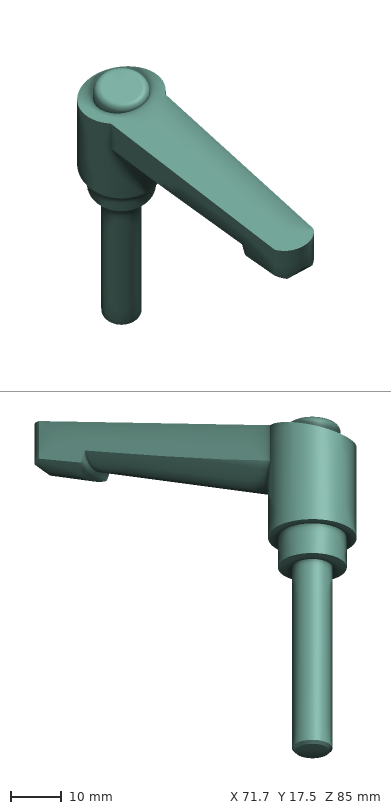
import cadquery as cq
import math


stud_radius = 4.0
stud_chamfer = 0.6
collar_radius = 6.8
collar_bottom = 39.95
button_radius = 5.6
button_top = 70.7
button_fillet = 1.5

hub_radius = 8.75
hub_bottom = 46.4

overall_height = 85.0
overall_length = 71.7
tip_x = overall_length - hub_radius
top_angle = 15.0
root_x = 5.9
root_half_width = 6.55
tip_half_width = 4.7
tip_arc_depth = 3.1

underside_angle = 20.0
arm_axis_z = 54.8
arm_crown_radius = 6.9
grip_depth = 1.95
grip_start = 53.2
grip_crown_radius = 8.75
grip_step_fillet = 2.2
grip_tip_fillet = 4.25

top_slope = math.tan(math.radians(top_angle))
underside_slope = math.tan(math.radians(underside_angle))
underside_sin = math.sin(math.radians(underside_angle))
underside_cos = math.cos(math.radians(underside_angle))


def top_z(x):
    """Height of the sloping top plane."""
    return overall_height - top_slope * (tip_x - x)


def cylinder(radius, bottom, top):
    return cq.Workplane("XY").workplane(offset=bottom).circle(radius).extrude(top - bottom)


def side_prism(points):
    """Extrude an XZ outline across the full width of the hub."""
    return cq.Workplane("XZ").polyline(points).close().extrude(hub_radius, both=True)


def inclined_point(along, below=0.0):
    """XZ point at a distance along the arm underside and square below it."""
    return (
        along * underside_cos + below * underside_sin,
        arm_axis_z + along * underside_sin - below * underside_cos,
    )


def crown(radius, below):
    """Inclined bar with a round underside and vertical flanks."""
    x, z = inclined_point(0, below)
    plane = cq.Plane(
        origin=(x, 0, z),
        xDir=(0, 1, 0),
        normal=(underside_cos, 0, underside_sin),
    )
    return (
        cq.Workplane(plane)
        .moveTo(-radius, radius)
        .threePointArc((0, 0), (radius, radius))
        .lineTo(radius, overall_height)
        .lineTo(-radius, overall_height)
        .close()
        .extrude(overall_height)
    )


def make_hub():
    hub = cylinder(hub_radius, hub_bottom, overall_height)
    below_top = side_prism([
        (-hub_radius, hub_bottom),
        (hub_radius, hub_bottom),
        (hub_radius, top_z(hub_radius)),
        (-hub_radius, top_z(-hub_radius)),
    ])
    return hub.intersect(below_top)


def make_plan():
    """Tapered vertical prism that gives the handle its flanks and tip."""
    flank_end_x = tip_x - tip_arc_depth
    taper = (root_half_width - tip_half_width) / (flank_end_x - root_x)
    axis_half_width = root_half_width + taper * root_x
    return (
        cq.Workplane("XY")
        .moveTo(0, -axis_half_width)
        .lineTo(flank_end_x, -tip_half_width)
        .threePointArc((tip_x, 0), (flank_end_x, tip_half_width))
        .lineTo(0, axis_half_width)
        .close()
        .extrude(overall_height)
    )


def make_arm():
    step_x, step_z = inclined_point(grip_start)
    profile = side_prism([
        (0, arm_axis_z),
        (step_x, step_z),
        (step_x, top_z(step_x)),
        (0, top_z(0)),
    ])
    return profile.intersect(make_plan()).intersect(crown(arm_crown_radius, 0))


def make_grip():
    step_x, step_z = inclined_point(grip_start, grip_depth)
    tip_z = step_z + (tip_x - step_x) * underside_slope
    square_slope = 1 / underside_slope
    step_top_x = (step_z + square_slope * step_x - top_z(0)) / (top_slope + square_slope)
    profile = side_prism([
        (step_x, step_z),
        (tip_x, tip_z),
        (tip_x, overall_height),
        (step_top_x, top_z(step_top_x)),
    ])
    step_edge = cq.selectors.NearestToPointSelector((step_x, 0, step_z))
    tip_edge = cq.selectors.NearestToPointSelector((tip_x, 0, tip_z))
    profile = profile.edges(step_edge).fillet(grip_step_fillet)
    profile = profile.edges(tip_edge).fillet(grip_tip_fillet)
    return profile.intersect(make_plan()).intersect(crown(grip_crown_radius, grip_depth))


stud = cylinder(stud_radius, 0, collar_bottom).faces("<Z").chamfer(stud_chamfer)
collar = cylinder(collar_radius, collar_bottom, hub_bottom)
button = cylinder(button_radius, hub_bottom, button_top).faces(">Z").edges().fillet(button_fillet)

result = make_hub()
for feature in (make_arm(), make_grip(), button, collar, stud):
    result = result.union(feature)